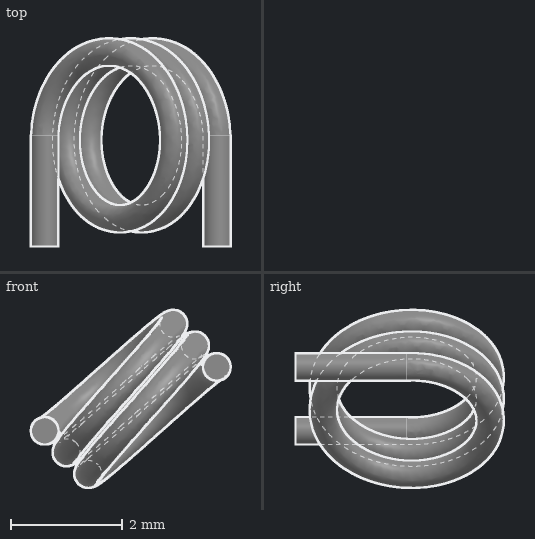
import cadquery as cq

wire_diameter = 0.5
coil_radius = 1.5
pitch = 0.55
turns = 2.5
overall_depth = 3.75

wire_radius = wire_diameter / 2
coil_length = pitch * turns
leg_length = overall_depth - coil_radius - wire_radius

coil_frame = cq.Plane(origin=(0, 0, 0), xDir=(-1, 0, -1), normal=(1, 0, -1))


def wire_profile(x, z):
    """Wire section facing local Y, centred at the given point of the coil frame."""
    section_plane = cq.Plane(origin=(x, 0, z), xDir=(1, 0, 0), normal=(0, -1, 0))
    return cq.Workplane(section_plane).circle(wire_radius)


def make_coil():
    """Helical winding, starting on the local +X side and ending on the -X side."""
    start_height = -coil_length / 2
    path = cq.Wire.makeHelix(pitch, coil_length, coil_radius, center=cq.Vector(0, 0, start_height))
    return wire_profile(coil_radius, start_height).sweep(cq.Workplane(path), isFrenet=True)


def make_leg(x, z):
    """Straight leg running towards -Y from one end of the winding."""
    return wire_profile(x, z).extrude(leg_length)


part = make_coil()
for end_side in (1, -1):
    leg = make_leg(end_side * coil_radius, -end_side * coil_length / 2)
    part = part.union(leg)

result = cq.Workplane(part.val().moved(cq.Location(coil_frame)))